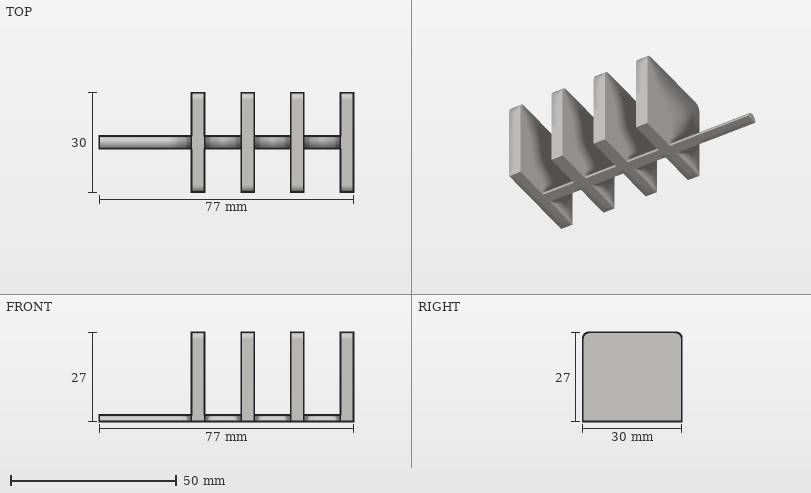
import cadquery as cq

total_length = 77.0
plate_width = 30.0
plate_height = 27.0

plate_count = 4
plate_thickness = 4.0
plate_pitch = 15.0
corner_radius = 2.0

rod_radius = 2.0

last_plate_x = total_length - plate_thickness
first_plate_x = last_plate_x - (plate_count - 1) * plate_pitch


def make_plate(start_x):
    """Upright plate with rounded top corners, standing on Z = 0."""
    return (
        cq.Workplane("XY")
        .box(plate_thickness, plate_width, plate_height, centered=(False, True, False))
        .edges("|X and >Z")
        .fillet(corner_radius)
        .translate((start_x, 0, 0))
    )


def make_rod():
    """Half-round rod along X with its flat side on Z = 0."""
    return (
        cq.Workplane("YZ")
        .moveTo(-rod_radius, 0)
        .threePointArc((0, rod_radius), (rod_radius, 0))
        .close()
        .extrude(total_length)
    )


result = make_rod()
for index in range(plate_count):
    result = result.union(make_plate(first_plate_x + index * plate_pitch))